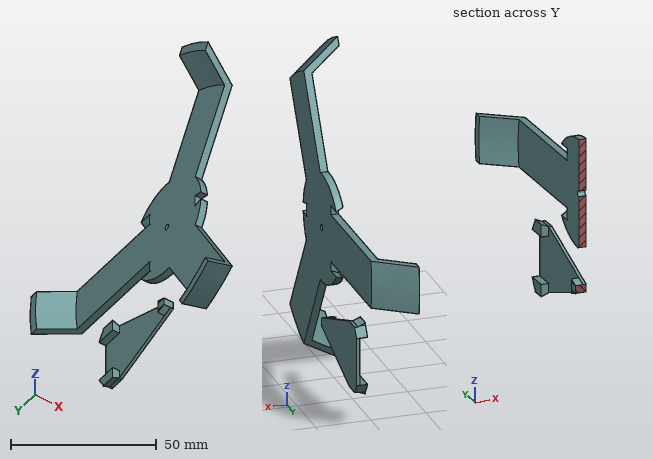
import cadquery as cq
import math

total_depth = 14.0

spider_thickness = 2.8
hub_radius = 20.0
shaft_hole_diameter = 2.0
arm_count = 3
arm_width = 17.5
arm_tip_radius = 64.5
fold_back_radius = 54.3
fold_wall = 3.2

clip_offset_z = -35.1
clip_plate_thickness = 1.2
clip_tip_width = 3.0
tenon_height = spider_thickness
tenon_inner_edge = arm_width / 2
tenon_root_edge = 12.15
tenon_flared_edge = 13.3
flare_end = 15.7
tip_tenon_length = 3.6
wedge_wide_half = 2.65

slot_floor = 10.0
slot_back_edge = 12.05
slot_front_edge = 13.2
notch_depth = 3.5
notch_inner_width = 4.8
notch_mouth_width = 3.1

spider_front = total_depth - spider_thickness
clip_plate_front = total_depth - clip_plate_thickness
tenon_tip = clip_plate_front - tenon_height


def plate_plane(x):
    """YZ sketch plane at height x, extruding toward +X."""
    return cq.Workplane("YZ", origin=(x, 0, 0))


def extrude_along_y(points_xz, y_start, y_end):
    """Prism with a constant XZ section between two Y positions."""
    plane = cq.Plane(origin=(0, y_start, 0), xDir=(1, 0, 0), normal=(0, -1, 0))
    return cq.Workplane(plane).polyline(points_xz).close().extrude(y_start - y_end)


def mirror_z(shape):
    """Mirror image of a shape across the XY plane."""
    return shape.mirror("XY")


def make_arm():
    """Arm along +Y: a flat strip whose end folds forward as a conical wall."""
    fold_slope = (arm_tip_radius - fold_back_radius) / total_depth
    inner_tip_radius = arm_tip_radius - fold_wall
    inner_root_radius = inner_tip_radius - fold_slope * spider_front
    folded_disc = (
        cq.Workplane("XY")
        .polyline([
            (total_depth, 0),
            (total_depth, fold_back_radius),
            (0, arm_tip_radius),
            (0, inner_tip_radius),
            (spider_front, inner_root_radius),
            (spider_front, 0),
        ])
        .close()
        .revolve(360, (0, 0, 0), (1, 0, 0))
    )
    strip = cq.Workplane("XY").box(
        total_depth, arm_tip_radius, arm_width, centered=(False, False, True)
    )
    return folded_disc.intersect(strip)


def make_hub_slot():
    """Slot above the +Y arm, wider at the front face than at the back."""
    section = [
        (spider_front, arm_width / 2),
        (spider_front, slot_front_edge),
        (total_depth, slot_back_edge),
        (total_depth, arm_width / 2),
    ]
    return extrude_along_y(section, slot_floor, hub_radius)


def make_hub_notch():
    """Dovetail notch in the -Y side of the hub, narrower at its mouth."""
    half_inner = notch_inner_width / 2
    half_mouth = notch_mouth_width / 2
    floor_y = notch_depth - hub_radius
    return (
        plate_plane(spider_front)
        .polyline([
            (floor_y, half_inner),
            (floor_y, -half_inner),
            (-hub_radius, -half_mouth),
            (-hub_radius, half_mouth),
        ])
        .close()
        .extrude(spider_thickness)
    )


def make_spider():
    """Hub disc with its openings and shaft hole, joined to the three folded arms."""
    hub = plate_plane(spider_front).circle(hub_radius).extrude(spider_thickness)
    slot = make_hub_slot()
    hub = hub.cut(slot).cut(mirror_z(slot)).cut(make_hub_notch())
    arm = make_arm()
    for index in range(arm_count):
        hub = hub.union(arm.rotate((0, 0, 0), (1, 0, 0), index * 360 / arm_count))
    shaft_hole = plate_plane(spider_front).circle(shaft_hole_diameter / 2).extrude(spider_thickness)
    return hub.cut(shaft_hole)


def arc_point(z):
    """Point of the hub circle on the +Y side at height z."""
    return (math.sqrt(hub_radius**2 - z**2), z)


def make_side_tenon():
    """Tenon at +Z that fills a hub slot: its outer side flares out.

    Its end follows the hub circle, except that the flared corner stops square at flare_end.
    """
    section = [
        (clip_plate_front, tenon_inner_edge),
        (clip_plate_front, tenon_root_edge),
        (tenon_tip, tenon_flared_edge),
        (tenon_tip, tenon_inner_edge),
    ]
    hub_disc = plate_plane(tenon_tip).circle(hub_radius).extrude(tenon_height)
    rounded_end = extrude_along_y(section, slot_floor, hub_radius).intersect(hub_disc)
    return rounded_end.union(extrude_along_y(section, slot_floor, flare_end))


def make_clip():
    """Tapered plate with a rounded wide end, two side tenons and a tip tenon."""
    half_tip = clip_tip_width / 2
    inner_end = arc_point(tenon_inner_edge)
    middle_z = (tenon_root_edge + tenon_inner_edge) / 2
    plate_half = (
        plate_plane(clip_plate_front)
        .moveTo(-hub_radius, 0)
        .lineTo(-hub_radius, half_tip)
        .lineTo(slot_floor, tenon_root_edge)
        .lineTo(*arc_point(tenon_root_edge))
        .threePointArc(arc_point(middle_z), inner_end)
        .lineTo(inner_end[0], 0)
        .close()
        .extrude(clip_plate_thickness)
    )
    tip_tenon = (
        plate_plane(tenon_tip)
        .center(tip_tenon_length / 2 - hub_radius, 0)
        .rect(tip_tenon_length, clip_tip_width)
        .extrude(tenon_height)
    )
    side_tenon = make_side_tenon()
    clip_half = plate_half.union(side_tenon)
    return clip_half.union(mirror_z(clip_half)).union(tip_tenon)


def make_tip_wedge(side):
    """Wedge beside the tip tenon that gives it the dovetail shape; side is +1 or -1 along Z."""
    inner_y = tip_tenon_length - hub_radius
    half_tip = clip_tip_width / 2
    return (
        plate_plane(tenon_tip)
        .polyline([
            (-hub_radius, side * half_tip),
            (inner_y, side * half_tip),
            (inner_y, side * wedge_wide_half),
        ])
        .close()
        .extrude(tenon_height)
    )


def place_clip(body):
    """Move a body from its assembled place in the hub to the clip's place beside the spider."""
    return body.translate((0, hub_radius, clip_offset_z))


spider = make_spider()
clip = place_clip(make_clip())
tip_wedges = [place_clip(make_tip_wedge(side)) for side in (1, -1)]

result = cq.Compound.makeCompound([
    spider.val(),
    clip.val(),
    *[wedge.val() for wedge in tip_wedges],
])